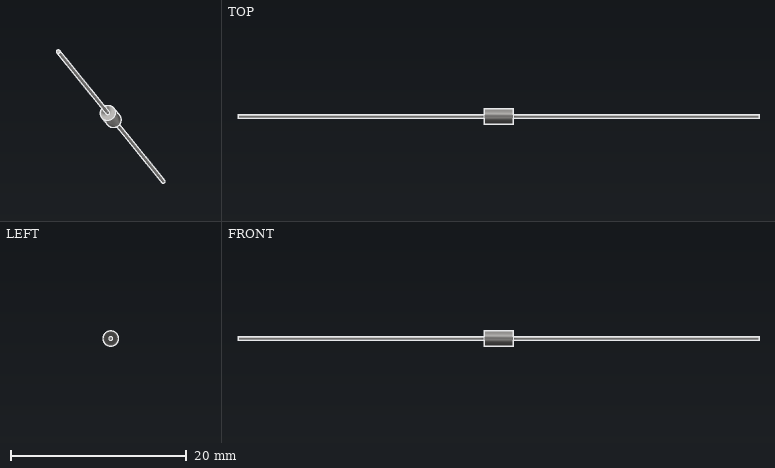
import cadquery as cq

overall_length = 59.3
case_length = 3.3
case_diameter = 1.78
lead_diameter = 0.44

lead_length = (overall_length - case_length) / 2


def make_case():
    """Plain cylindrical case, centred on the origin."""
    return (
        cq.Workplane("YZ", origin=(-case_length / 2, 0, 0))
        .circle(case_diameter / 2)
        .extrude(case_length)
    )


def make_lead(direction):
    """Straight wire running outward from one end face of the case (direction is -1 or +1)."""
    return (
        cq.Workplane("YZ", origin=(direction * case_length / 2, 0, 0))
        .circle(lead_diameter / 2)
        .extrude(direction * lead_length)
    )


case = make_case()
leads = [make_lead(direction) for direction in (-1, 1)]

result = cq.Compound.makeCompound([case.val(), *[lead.val() for lead in leads]])